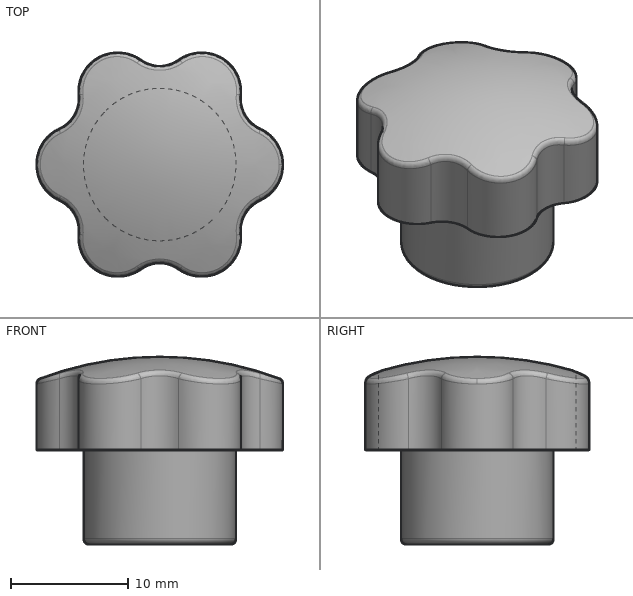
import cadquery as cq
import math

TOTAL_HEIGHT = 16.0
OUTER_RADIUS = 10.5

LOBE_COUNT = 6
LOBE_RADIUS = 3.35
VALLEY_RADIUS = 2.77
HEAD_BOTTOM = 8.0
DOME_RADIUS = 28.77
RIM_FILLET = 0.5
HEAD_BOTTOM_CHAMFER = 0.1

SHANK_DIAMETER = 13.0
SHANK_FILLET = 0.5

LOBE_CENTRE_RADIUS = OUTER_RADIUS - LOBE_RADIUS
HALF_PITCH = math.pi / LOBE_COUNT
VALLEY_CENTRE_RADIUS = LOBE_CENTRE_RADIUS * math.cos(HALF_PITCH) + math.sqrt(
    (LOBE_RADIUS + VALLEY_RADIUS) ** 2
    - (LOBE_CENTRE_RADIUS * math.sin(HALF_PITCH)) ** 2
)


def polar(radius, angle):
    return radius * math.cos(angle), radius * math.sin(angle)


def tangent_point(lobe_angle, side):
    """Point where a lobe meets the valley before (-1) or after (+1) it."""
    lobe_x, lobe_y = polar(LOBE_CENTRE_RADIUS, lobe_angle)
    valley_x, valley_y = polar(VALLEY_CENTRE_RADIUS, lobe_angle + side * HALF_PITCH)
    share = LOBE_RADIUS / (LOBE_RADIUS + VALLEY_RADIUS)
    return lobe_x + share * (valley_x - lobe_x), lobe_y + share * (valley_y - lobe_y)


def lobed_prism():
    """Six convex lobes joined by tangent concave valleys."""
    outline = cq.Workplane("XY").workplane(offset=HEAD_BOTTOM)
    outline = outline.moveTo(*tangent_point(0, -1))
    for index in range(LOBE_COUNT):
        angle = 2 * HALF_PITCH * index
        next_angle = angle + 2 * HALF_PITCH
        valley_floor = polar(VALLEY_CENTRE_RADIUS - VALLEY_RADIUS, angle + HALF_PITCH)
        outline = outline.threePointArc(polar(OUTER_RADIUS, angle), tangent_point(angle, 1))
        outline = outline.threePointArc(valley_floor, tangent_point(next_angle, -1))
    return outline.close().extrude(TOTAL_HEIGHT - HEAD_BOTTOM)


def domed_head():
    """Lobed prism under a shallow spherical top, with its rims eased."""
    dome = cq.Workplane("XY").sphere(DOME_RADIUS).translate((0, 0, TOTAL_HEIGHT - DOME_RADIUS))
    head = lobed_prism().intersect(dome)
    head = head.faces("<Z").edges().chamfer(HEAD_BOTTOM_CHAMFER)
    return head.faces("%SPHERE").edges().fillet(RIM_FILLET)


def shank():
    cylinder = cq.Workplane("XY").circle(SHANK_DIAMETER / 2).extrude(HEAD_BOTTOM)
    return cylinder.faces("<Z").edges().fillet(SHANK_FILLET)


result = domed_head().union(shank())